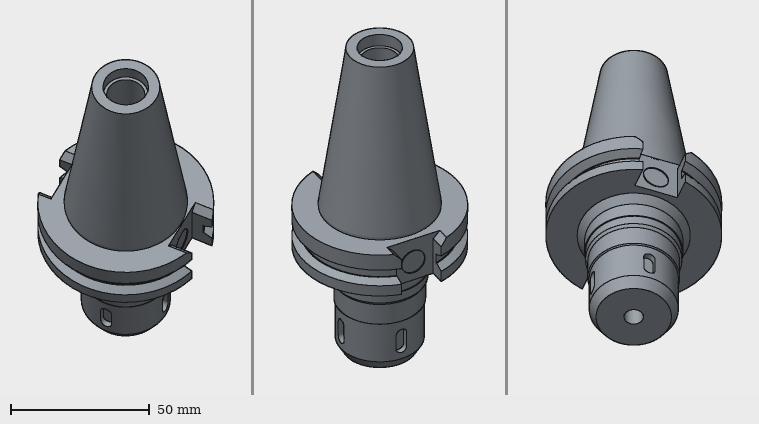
import cadquery as cq


gauge_radius = 44.45 / 2
taper_length = 68.25
taper_rate = 7 / 24
taper_end_radius = gauge_radius - taper_length * taper_rate / 2

flange_radius = 63.5 / 2
flange_top = -1.0
flange_bottom = -19.05
groove_radius = 56.36 / 2
groove_shoulder = 0.4
groove_center = -11.1
groove_floor_width = 3.8
groove_mouth_width = 6.9

nose_bottom = -63.5
flare_radius = 20.4
neck_radius = 17.75
flare_height = 3.0
neck_top = flange_bottom - flare_height
collar_radius = 17.4
neck_bottom = -28.3
collar_bottom = -32.3
sleeve_radius = 16.6
collar_chamfer_height = 1.2
sleeve_top = collar_bottom - collar_chamfer_height
sleeve_bottom = -42.2
nut_radius = 16.1
nut_top = -42.6
nose_end_radius = 13.6
nose_chamfer_height = 4.3
nose_chamfer_top = nose_bottom + nose_chamfer_height

drive_slot_width = 16.38
drive_slot_chamfer = 2.7
slot_floor_left = 24.8
slot_floor_right = 22.6
dimple_diameter = 9.6
dimple_depth = 0.4

wrench_slot_count = 4
wrench_slot_width = 4.3
wrench_slot_length = 10.2
wrench_slot_height = 12.1
wrench_slot_center = nose_bottom + wrench_slot_height
wrench_slot_depth = 2.3

pilot_diameter = 16.3
pilot_depth = 5.0
thread_diameter = 13.8
thread_depth = 30.0
coolant_diameter = 7.0


def make_body():
    """Revolve the outer half-profile, from the nose end up to the taper end."""
    profile = [
        (0, nose_bottom),
        (nose_end_radius, nose_bottom),
        (nut_radius, nose_chamfer_top),
        (nut_radius, nut_top),
        (sleeve_radius, sleeve_bottom),
        (sleeve_radius, sleeve_top),
        (collar_radius, collar_bottom),
        (collar_radius, neck_bottom),
        (neck_radius, neck_bottom),
        (neck_radius, neck_top),
        (flare_radius, flange_bottom),
        (flange_radius, flange_bottom),
        (flange_radius, groove_center - groove_mouth_width / 2),
        (groove_radius + groove_shoulder, groove_center - groove_floor_width / 2),
        (groove_radius, groove_center - groove_floor_width / 2),
        (groove_radius, groove_center + groove_floor_width / 2),
        (groove_radius + groove_shoulder, groove_center + groove_floor_width / 2),
        (flange_radius, groove_center + groove_mouth_width / 2),
        (flange_radius, flange_top),
        (gauge_radius, flange_top),
        (gauge_radius, 0),
        (taper_end_radius, taper_length),
        (0, taper_length),
    ]
    half_plane = cq.Plane(origin=(0, 0, 0), xDir=(0, -1, 0), normal=(-1, 0, 0))
    return cq.Workplane(half_plane).polyline(profile).close().revolve(360, (0, 0, 0), (0, 1, 0))


def make_drive_slot(floor_distance):
    """Cutter for the drive slot on +X: straight walls, chamfered at the top of the flange."""
    half_width = drive_slot_width / 2
    half_mouth = half_width + drive_slot_chamfer
    outline = [
        (-half_width, flange_bottom),
        (half_width, flange_bottom),
        (half_width, flange_top - drive_slot_chamfer),
        (half_mouth, flange_top),
        (-half_mouth, flange_top),
        (-half_width, flange_top - drive_slot_chamfer),
    ]
    slot = (
        cq.Workplane("YZ", origin=(floor_distance, 0, 0))
        .polyline(outline)
        .close()
        .extrude(flange_radius - floor_distance)
    )
    dimple = (
        cq.Workplane("YZ", origin=(floor_distance, 0, groove_center))
        .circle(dimple_diameter / 2)
        .extrude(-dimple_depth)
    )
    return slot.union(dimple)


def make_wrench_slot(angle):
    """Cutter for one flat-bottomed axial slot in the nose, turned about Z by the angle."""
    return (
        cq.Workplane("YZ", origin=(nut_radius - wrench_slot_depth, 0, wrench_slot_center))
        .slot2D(wrench_slot_length, wrench_slot_width, 90)
        .extrude(2 * wrench_slot_depth)
        .rotate((0, 0, 0), (0, 0, 1), angle)
    )


def make_bore(diameter, depth):
    """Cutter for a round bore running down from the taper end."""
    return cq.Workplane("XY", origin=(0, 0, taper_length)).circle(diameter / 2).extrude(-depth)


result = make_body()

result = result.cut(make_drive_slot(slot_floor_right))
result = result.cut(make_drive_slot(slot_floor_left).rotate((0, 0, 0), (0, 0, 1), 180))

for index in range(wrench_slot_count):
    result = result.cut(make_wrench_slot(index * 360 / wrench_slot_count))

result = result.cut(make_bore(pilot_diameter, pilot_depth))
result = result.cut(make_bore(thread_diameter, thread_depth))
result = result.cut(make_bore(coolant_diameter, taper_length - nose_bottom))